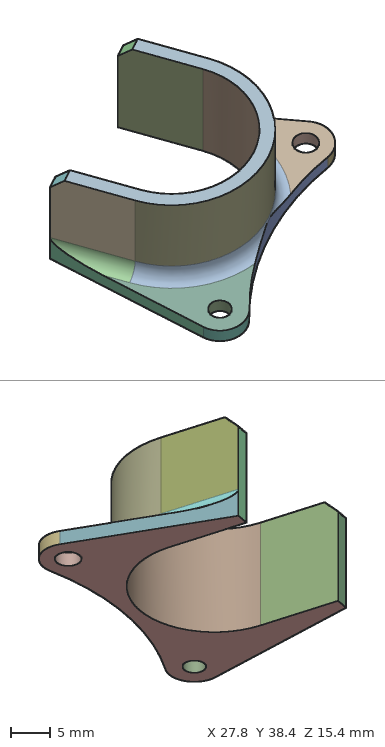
import cadquery as cq
import math

height = 15.35
bore_radius = 11.2
wall = 2.0
arm_length = 11.6
plate_thickness = 2.0
fillet_radius = 2.0
tip_chamfer = 2.0
ear_radius = 3.75
ear_x = 12.43
ear_y = 15.44
rear_gap = 0.05
far_ear_hole_diameter = 3.4
near_ear_hole_diameter = 3.0

outer_radius = bore_radius + wall
blank_margin = 10.0


def u_prism(radius, prism_height):
    """Solid U: a half disc closed by two straight sides running to the open end."""
    return (
        cq.Workplane("XY")
        .moveTo(-arm_length, -radius)
        .lineTo(0, -radius)
        .threePointArc((radius, 0), (0, radius))
        .lineTo(-arm_length, radius)
        .close()
        .extrude(prism_height)
    )


def filleted_blank():
    """Solid U standing on an oversize plate, with the root of the U filleted."""
    blank_length = arm_length + outer_radius + blank_margin
    blank_width = 2 * (outer_radius + blank_margin)
    plate = (
        cq.Workplane("XY")
        .box(blank_length, blank_width, plate_thickness, centered=(False, True, False))
        .translate((-arm_length, 0, 0))
    )
    body = plate.union(u_prism(outer_radius, height))

    reach = outer_radius + fillet_radius
    margin = fillet_radius / 2
    root_edges = cq.selectors.BoxSelector(
        (-arm_length + margin, -reach, plate_thickness - margin),
        (reach, reach, plate_thickness + margin),
    )
    return body.edges(root_edges).fillet(fillet_radius)


def outline_prism():
    """Plan outline: slanted sides, round ears and a concave rear edge, all tangent."""
    side_dx = ear_x + arm_length
    side_dy = ear_y - outer_radius
    side_angle = math.atan2(side_dy, side_dx) + math.asin(ear_radius / math.hypot(side_dx, side_dy))
    side_end_x = ear_x - ear_radius * math.sin(side_angle)
    side_end_y = ear_y + ear_radius * math.cos(side_angle)

    rear_x = outer_radius + rear_gap
    offset = rear_x - ear_x
    rear_radius = (offset**2 + ear_y**2 - ear_radius**2) / (2 * (ear_radius - offset))
    rear_angle = math.asin(ear_y / (rear_radius + ear_radius))
    rear_end_x = ear_x + ear_radius * math.cos(rear_angle)
    rear_end_y = ear_y - ear_radius * math.sin(rear_angle)

    ear_angle = (math.pi / 2 + side_angle - rear_angle) / 2
    ear_mid_x = ear_x + ear_radius * math.cos(ear_angle)
    ear_mid_y = ear_y + ear_radius * math.sin(ear_angle)

    return (
        cq.Workplane("XY")
        .moveTo(-arm_length, -outer_radius)
        .lineTo(side_end_x, -side_end_y)
        .threePointArc((ear_mid_x, -ear_mid_y), (rear_end_x, -rear_end_y))
        .threePointArc((rear_x, 0), (rear_end_x, rear_end_y))
        .threePointArc((ear_mid_x, ear_mid_y), (side_end_x, side_end_y))
        .lineTo(-arm_length, outer_radius)
        .close()
        .extrude(height)
    )


def ear_hole(y, diameter):
    """Plug for a through hole concentric with an ear."""
    return cq.Workplane("XY").center(ear_x, y).circle(diameter / 2).extrude(plate_thickness)


def tip_chamfer_cutter():
    """Wedge that bevels the top corner of both arms at the open end."""
    return (
        cq.Workplane("XZ")
        .moveTo(-arm_length, height)
        .lineTo(-arm_length + tip_chamfer, height)
        .lineTo(-arm_length, height - tip_chamfer)
        .close()
        .extrude(outer_radius, both=True)
    )


result = filleted_blank().intersect(outline_prism())
result = result.cut(u_prism(bore_radius, height))
result = result.cut(tip_chamfer_cutter())
result = result.cut(ear_hole(ear_y, far_ear_hole_diameter))
result = result.cut(ear_hole(-ear_y, near_ear_hole_diameter))